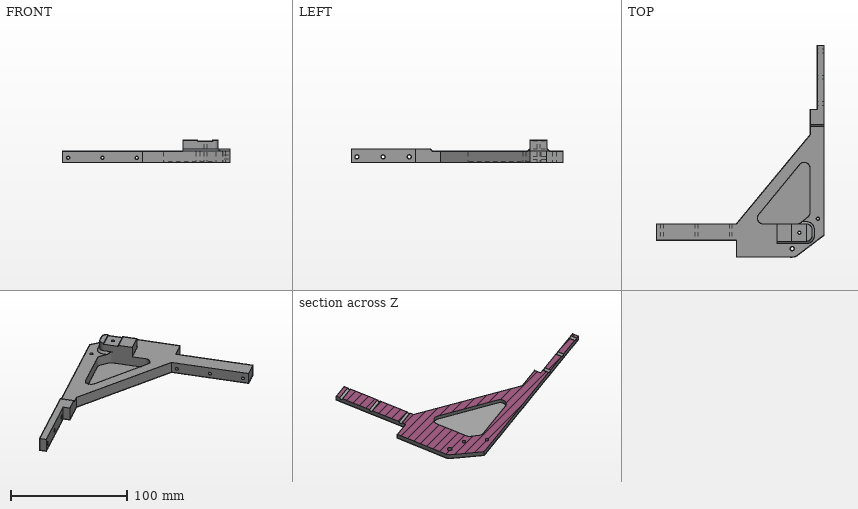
import cadquery as cq
import math

TOTAL_X = 144.4
TOTAL_Y = 182.22
PLATE_THICKNESS = 10.0
THROUGH = 60.0

LEFT_ARM_LENGTH = 68.8
LEFT_ARM_WIDTH = 14.2
LEFT_ARM_Y = 14.5
LEFT_ARM_TOP = LEFT_ARM_Y + LEFT_ARM_WIDTH
PLATE_LEFT = LEFT_ARM_LENGTH - TOTAL_X

UPPER_ARM_WIDTH = 6.0
UPPER_ARM_LENGTH = 55.0
UPPER_ARM_Y = TOTAL_Y - UPPER_ARM_LENGTH
SHOULDER_WIDTH = 12.0
SHOULDER_Y = 105.6
RAMP_START_Y = 112.4
RAISE = 2.0

BOTTOM_RISE = 0.21
CLIP_X = -25.0
CLIP_Y = 19.0
CLIP_CORNER_RADIUS = 8.0

POCKET_DEPTH = 9.0
POCKET_RIGHT = -12.2
POCKET_BOTTOM = LEFT_ARM_TOP
POCKET_TOP = 90.7
POCKET_LEFT = -63.0
POCKET_CLIP_X = -21.4
POCKET_CLIP_Y = 36.2
POCKET_RADIUS = 5.0

BLOCK_LEFT = -40.6
BLOCK_RIGHT = -10.4
BLOCK_WIDTH = 15.0
BLOCK_Y = POCKET_BOTTOM - BLOCK_WIDTH
BLOCK_TOP = 19.5
BLOCK_CORNER_RADIUS = 5.0
FOOT = 2.0
SEAT_LEFT = -28.0
SEAT_RIGHT = -15.0
SEAT_DEPTH = 1.0

VERTICAL_HOLES = [(-21.3, 21.2, 2.5), (-5.4, 33.2, 2.5), (-27.5, 7.4, 3.4)]

ARM_HOLE_COUNT = 3
LEFT_HOLE_DIAMETER = 2.5
LEFT_HOLE_INSET = 5.0
LEFT_HOLE_SPACING = 29.5
LEFT_HOLE_Z = 4.2
UPPER_HOLE_DIAMETER = 3.3
UPPER_HOLE_INSET = 4.8
UPPER_HOLE_SPACING = 22.5
UPPER_HOLE_Z = 5.0


def make_plate():
    outline = [
        (PLATE_LEFT, BOTTOM_RISE),
        (CLIP_X, 0),
        (0, CLIP_Y),
        (0, TOTAL_Y),
        (-UPPER_ARM_WIDTH, TOTAL_Y),
        (-UPPER_ARM_WIDTH, UPPER_ARM_Y),
        (-SHOULDER_WIDTH, UPPER_ARM_Y),
        (-SHOULDER_WIDTH, SHOULDER_Y),
        (PLATE_LEFT, LEFT_ARM_TOP),
        (-TOTAL_X, LEFT_ARM_TOP),
        (-TOTAL_X, LEFT_ARM_Y),
        (PLATE_LEFT, LEFT_ARM_Y),
    ]
    plate = cq.Workplane("XY").polyline(outline).close().extrude(PLATE_THICKNESS + RAISE)
    lowered = (
        cq.Workplane("YZ")
        .moveTo(0, PLATE_THICKNESS)
        .lineTo(RAMP_START_Y, PLATE_THICKNESS)
        .lineTo(RAMP_START_Y + RAISE, PLATE_THICKNESS + RAISE)
        .lineTo(0, PLATE_THICKNESS + RAISE)
        .close()
        .extrude(-TOTAL_X)
    )
    plate = plate.cut(lowered)
    clipped_corner = cq.selectors.NearestToPointSelector((CLIP_X, 0, PLATE_THICKNESS / 2))
    return plate.edges("|Z").edges(clipped_corner).fillet(CLIP_CORNER_RADIUS)


def make_pocket():
    outline = [
        (POCKET_LEFT, POCKET_BOTTOM),
        (POCKET_CLIP_X, POCKET_BOTTOM),
        (POCKET_RIGHT, POCKET_CLIP_Y),
        (POCKET_RIGHT, POCKET_TOP),
    ]
    return (
        cq.Workplane("XY", origin=(0, 0, PLATE_THICKNESS - POCKET_DEPTH))
        .polyline(outline)
        .close()
        .extrude(THROUGH)
        .edges("|Z")
        .fillet(POCKET_RADIUS)
    )

def block_outline(growth):
    """Block footprint, grown outwards; its left end is left square."""
    left = BLOCK_LEFT - growth
    right = BLOCK_RIGHT + growth
    bottom = BLOCK_Y - growth
    top = BLOCK_Y + BLOCK_WIDTH + growth
    radius = BLOCK_CORNER_RADIUS + growth
    diagonal = radius * (1 - math.sqrt(0.5))
    return (
        cq.Workplane("XY", origin=(0, 0, PLATE_THICKNESS))
        .moveTo(left, bottom)
        .lineTo(right - radius, bottom)
        .threePointArc((right - diagonal, bottom + diagonal), (right, bottom + radius))
        .lineTo(right, top - radius)
        .threePointArc((right - diagonal, top - diagonal), (right - radius, top))
        .lineTo(left, top)
        .close()
    )


def make_block():
    block = block_outline(0).extrude(BLOCK_TOP - PLATE_THICKNESS)
    seat = (
        cq.Workplane("XY")
        .box(SEAT_RIGHT - SEAT_LEFT, THROUGH, SEAT_DEPTH, centered=(False, True, False))
        .translate((SEAT_LEFT, BLOCK_Y, BLOCK_TOP - SEAT_DEPTH))
    )
    foot_trim = (
        cq.Workplane("XY")
        .box(THROUGH, THROUGH, THROUGH)
        .translate((BLOCK_LEFT - THROUGH / 2, BLOCK_Y, BLOCK_TOP))
    )
    foot = block_outline(FOOT).extrude(FOOT, taper=45).cut(foot_trim)
    return block.cut(seat).union(foot)


def make_vertical_hole(x, y, diameter):
    return cq.Workplane("XY").center(x, y).circle(diameter / 2).extrude(THROUGH)


def make_left_arm_holes():
    """Row of holes through the left arm, along Y."""
    points = [
        (LEFT_HOLE_INSET - TOTAL_X + i * LEFT_HOLE_SPACING, LEFT_HOLE_Z)
        for i in range(ARM_HOLE_COUNT)
    ]
    return (
        cq.Workplane("XZ")
        .pushPoints(points)
        .circle(LEFT_HOLE_DIAMETER / 2)
        .extrude(-THROUGH)
    )


def make_upper_arm_holes():
    """Row of holes through the upper arm, along X."""
    points = [
        (TOTAL_Y - UPPER_HOLE_INSET - i * UPPER_HOLE_SPACING, UPPER_HOLE_Z)
        for i in range(ARM_HOLE_COUNT)
    ]
    return (
        cq.Workplane("YZ")
        .pushPoints(points)
        .circle(UPPER_HOLE_DIAMETER / 2)
        .extrude(-THROUGH)
    )


result = make_plate().union(make_block()).cut(make_pocket())
for x, y, diameter in VERTICAL_HOLES:
    result = result.cut(make_vertical_hole(x, y, diameter))
result = result.cut(make_left_arm_holes()).cut(make_upper_arm_holes())